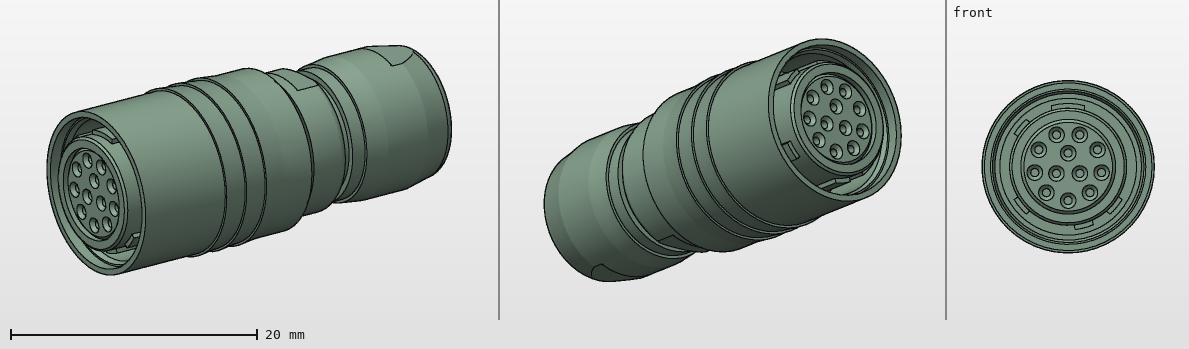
import cadquery as cq
import math


rear_y = 32.0
clamp_r = 6.0
clamp_rear_r = 5.55
clamp_front_r = 5.75
rear_taper_end_y = 29.0
front_taper_start_y = 25.0
front_taper_end_y = 23.0
collar_r = 5.5
collar_front_y = 21.75
neck_r = 5.0
edge_round_r = 0.7
round_margin = 0.01

grip_rear_y = 21.0
grip_r = clamp_r
cone_start_y = 17.5

flat_half_height = 5.5
clamp_flat_end_y = 28.0
grip_flat_end_y = 18.5

sleeve_r = 6.8
sleeve_rib_r = 7.0
sleeve_bore_r = 5.95
sleeve_step_r = 6.15
sleeve_mouth_r = 6.3
mouth_depth = 1.0
step_depth = 1.5
ledge_y = 8.0
rib_rear_y = 14.0
rib_pitch = 2.0
rib_count = 3
cone_end_y = cone_start_y - (sleeve_r - grip_r)

shank_r = 5.55
shank_front_y = 6.0
plug_r = 4.75
plug_front_y = -0.5
plug_chamfer = 0.2
recess_r = 3.85
recess_depth = 0.3
insert_chamfer = 0.25

key_r = 5.13
key_front_y = 0.6
wide_key_width = 2.68
wide_key_angle = 90.0
narrow_key_width = 1.52
narrow_key_angles = (140.0, 220.0, 285.0, 320.0)

outer_circle_r = 2.75
outer_count = 9
outer_start_angle = 270
inner_circle_r = 1.1
inner_count = 3
inner_start_angle = 90
hole_r = 0.33
hole_mouth_r = 0.63
hole_cone_depth = 0.35
hole_depth = 2.5


def revolve_y(points):
    """Turn a closed (radius, Y) outline about the Y axis."""
    return cq.Workplane("XY").polyline(points).close().revolve(360, (0, 0, 0), (0, 1, 0))


def make_turned_body():
    """Clamp, collar, neck, grip, shank and plug as one turned shape."""
    clamp = revolve_y([
        (0, collar_front_y),
        (collar_r, collar_front_y),
        (collar_r, front_taper_end_y),
        (clamp_front_r, front_taper_end_y),
        (clamp_r, front_taper_start_y),
        (clamp_r, rear_taper_end_y),
        (clamp_rear_r, rear_y - edge_round_r),
        (clamp_rear_r, rear_y),
        (0, rear_y),
    ]).faces(">Y").edges().fillet(edge_round_r - round_margin)
    grip = revolve_y([
        (0, cone_start_y),
        (grip_r, cone_start_y),
        (grip_r, grip_rear_y),
        (0, grip_rear_y),
    ]).faces(">Y").edges().fillet(edge_round_r)
    insert_y = plug_front_y + recess_depth
    core = revolve_y([
        (0, insert_y),
        (recess_r - insert_chamfer, insert_y),
        (recess_r, insert_y + insert_chamfer),
        (recess_r, plug_front_y),
        (plug_r - plug_chamfer, plug_front_y),
        (plug_r, plug_front_y + plug_chamfer),
        (plug_r, shank_front_y),
        (shank_r, shank_front_y),
        (shank_r, cone_start_y),
        (neck_r, cone_start_y),
        (neck_r, collar_front_y),
        (0, collar_front_y),
    ])
    return core.union(grip).union(clamp)


def cut_flats(body, end_y, start_y):
    """Cut a pair of flats, above and below, from end_y back to start_y."""
    length = start_y - end_y
    for side in (1, -1):
        block = cq.Workplane("XY").box(
            2 * clamp_r, length, clamp_r, centered=(True, False, True)
        ).translate((0, end_y, side * (flat_half_height + clamp_r / 2)))
        body = body.cut(block)
    return body


def make_key(angle, width):
    """Key on the plug barrel, at an angle from +X about the Y axis."""
    length = shank_front_y - key_front_y
    ring = cq.Workplane("XZ", origin=(0, shank_front_y, 0)).circle(key_r).circle(plug_r - plug_chamfer)
    bar = cq.Workplane("XY").box(
        key_r, length, width, centered=(False, False, True)
    ).translate((0, key_front_y, 0))
    return ring.extrude(length).intersect(bar.rotate((0, 0, 0), (0, 1, 0), -angle))


def make_contact_hole(circle_r, angle):
    """Blind contact hole with a conical lead-in."""
    face_y = plug_front_y + recess_depth
    hole = revolve_y([
        (0, face_y),
        (hole_mouth_r, face_y),
        (hole_r, face_y + hole_cone_depth),
        (hole_r, face_y + hole_depth),
        (0, face_y + hole_depth),
    ])
    x = circle_r * math.cos(math.radians(angle))
    z = circle_r * math.sin(math.radians(angle))
    return hole.translate((x, 0, z))


def make_plug_body():
    """Connector body with its wrench flats, keys and contact holes."""
    body = make_turned_body()
    body = cut_flats(body, clamp_flat_end_y, rear_y)
    body = cut_flats(body, grip_flat_end_y, grip_rear_y)
    body = body.union(make_key(wide_key_angle, wide_key_width))
    for angle in narrow_key_angles:
        body = body.union(make_key(angle, narrow_key_width))
    for i in range(outer_count):
        body = body.cut(make_contact_hole(outer_circle_r, outer_start_angle + i * 360 / outer_count))
    for i in range(inner_count):
        body = body.cut(make_contact_hole(inner_circle_r, inner_start_angle + i * 360 / inner_count))
    return body


def make_sleeve():
    """Ribbed coupling sleeve that rides on the shank and surrounds the plug."""
    outline = [
        (sleeve_bore_r, ledge_y),
        (shank_r, ledge_y),
        (shank_r, cone_start_y),
        (grip_r, cone_start_y),
        (sleeve_r, cone_end_y),
        (sleeve_r, rib_rear_y),
    ]
    for i in range(rib_count):
        rib_front_y = rib_rear_y - (i + 1) * rib_pitch
        outline += [(sleeve_rib_r, rib_front_y), (sleeve_r, rib_front_y)]
    outline += [
        (sleeve_r, 0),
        (sleeve_mouth_r, 0),
        (sleeve_mouth_r, mouth_depth),
        (sleeve_step_r, mouth_depth),
        (sleeve_bore_r, step_depth),
    ]
    return revolve_y(outline)


plug_body = make_plug_body()
sleeve = make_sleeve()

result = cq.Compound.makeCompound([plug_body.val(), sleeve.val()])